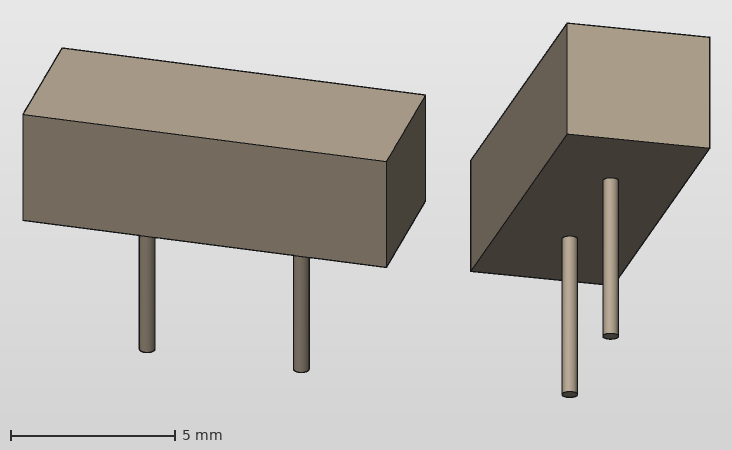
import cadquery as cq

HOUSING_LENGTH = 11.5
HOUSING_WIDTH = 4.5
HOUSING_HEIGHT = 3.66

OVERALL_HEIGHT = 8.77
PIN_DIAMETER = 0.48
PIN_SPACING = 4.88
PIN_LENGTH = OVERALL_HEIGHT - HOUSING_HEIGHT


def make_housing():
    """Plain block with its underside on Z = 0."""
    return cq.Workplane("XY").box(
        HOUSING_LENGTH, HOUSING_WIDTH, HOUSING_HEIGHT, centered=(True, True, False)
    )


def make_pin(x):
    """Round pin that runs down from the housing underside at the given X."""
    return cq.Workplane("XY").center(x, 0).circle(PIN_DIAMETER / 2).extrude(-PIN_LENGTH)


housing = make_housing()
pins = [make_pin(side * PIN_SPACING / 2) for side in (-1, 1)]

result = cq.Compound.makeCompound([housing.val(), *[pin.val() for pin in pins]])